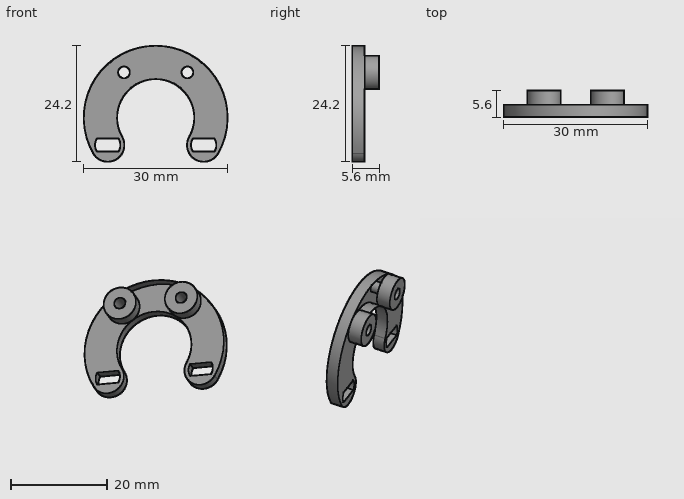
import cadquery as cq
import math

outer_radius = 15.0
band_width = 7.0
plate_thickness = 2.6

boss_height = 3.0
boss_angle = 35.0
hole_radius = 1.2

end_offset_x = 10.0
slot_radius = 2.6
slot_height = 2.65

end_radius = band_width / 2
inner_radius = outer_radius - band_width
mid_radius = outer_radius - end_radius
end_offset_z = -math.sqrt(mid_radius**2 - end_offset_x**2)
total_depth = plate_thickness + boss_height


def cylinder(x, z, radius, depth):
    """Cylinder running along +Y from the front face."""
    circle = cq.Workplane("XZ").center(x, z).circle(radius)
    return circle.extrude(-depth)


def ring_point(radius, side):
    """Point on the radial line through the centre of a ring end."""
    return (
        side * end_offset_x * radius / mid_radius,
        end_offset_z * radius / mid_radius,
    )


def end_tip(side):
    """Midpoint of the rounded end, square to its radial line."""
    return (
        side * (end_offset_x + end_radius * end_offset_z / mid_radius),
        end_offset_z - end_radius * end_offset_x / mid_radius,
    )


def horseshoe():
    """Open ring whose ends are full rounds tangent to both edges."""
    return (
        cq.Workplane("XZ")
        .moveTo(*ring_point(outer_radius, -1))
        .threePointArc((0, outer_radius), ring_point(outer_radius, 1))
        .threePointArc(end_tip(1), ring_point(inner_radius, 1))
        .threePointArc((0, inner_radius), ring_point(inner_radius, -1))
        .threePointArc(end_tip(-1), ring_point(outer_radius, -1))
        .close()
        .extrude(-plate_thickness)
    )


def double_flat_slot(x, z):
    """Round opening cut off by flats above and below."""
    flats = (
        cq.Workplane("XZ")
        .center(x, z)
        .rect(2 * slot_radius, slot_height)
        .extrude(-plate_thickness)
    )
    return cylinder(x, z, slot_radius, plate_thickness).intersect(flats)


result = horseshoe()
boss_x = mid_radius * math.sin(math.radians(boss_angle))
boss_z = mid_radius * math.cos(math.radians(boss_angle))

for side in (-1, 1):
    result = result.union(cylinder(side * boss_x, boss_z, end_radius, total_depth))
    result = result.cut(cylinder(side * boss_x, boss_z, hole_radius, total_depth))
    result = result.cut(double_flat_slot(side * end_offset_x, end_offset_z))